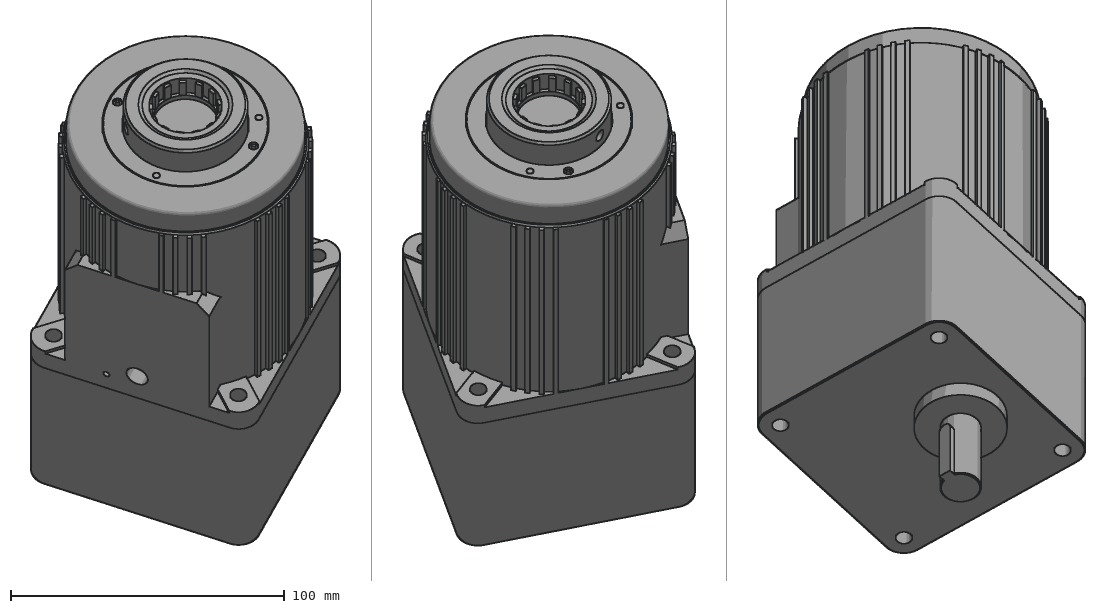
import cadquery as cq
import math

side = 90.0
corner_radius = 8.0
bolt_hole_diameter = 6.0
bolt_spacing = 73.5

boss_bottom_z = 31.2
gearhead_bottom_z = 37.3
gearhead_top_z = 102.2
flange_top_z = 110.3
body_top_z = 197.5
cap_top_z = 207.0
hub_top_z = 218.0

gearhead_chamfer = 0.5
shaft_offset_y = 18.0
shaft_diameter = 15.0
shaft_chamfer = 0.5
boss_diameter = 34.0
key_width = 5.0
key_length = 25.3
key_protrusion = 2.0

pad_width = 12.0
pad_height = 1.3
body_diameter = side
body_chamfer = 0.7
first_rib_angle = 12.0
rib_pitch = 6.5
ribs_per_group = 4
rib_width = 1.7
rib_tip_radius = 46.5
rib_root_depth = 2.2
cap_diameter = 87.5
cap_fillet = 2.0

box_width = 57.3
box_top_z = 165.5
box_depth = 17.5
box_chamfer = 5.0
box_root_fillet = 0.7
cable_hole_diameter = 8.5
cable_hole_z = 114.2
cable_hole_depth = 11.0
screw_hole_diameter = 2.5
screw_hole_x = -12.2
screw_hole_z = 109.9
screw_hole_depth = 6.5

gap = 0.5
pocket_diameter = 61.0
ring_thickness = 3.3
ring_bottom_z = cap_top_z - ring_thickness
ring_hole_diameter = 2.6
ring_hole_depth = 0.2
ring_hole_circle_radius = 27.0
ring_hole_angles = [30, 150, 270]
dowel_hole_angles = [0, 180]
dowel_hole_diameter = 3.5
dowel_hole_depth = 1.0
dowel_pilot_diameter = 1.7

hub_diameter = 45.5
hub_chamfer = 0.9
bore_mouth_diameter = 34.5
bore_seat_diameter = 31.6
bore_seat_depth = 0.7
spline_root_diameter = 26.5
spline_tip_diameter = 24.0
spline_teeth = 13
spline_tooth_width = 2.6
spline_tooth_height = 2.2
spline_recess = 1.7
spline_groove_depth = 8.7
bore_depth = 11.0
set_screw_diameter = 4.5
set_screw_drop = 5.9
set_screw_angle = 220


def cylinder(diameter, bottom_z, top_z, x=0, y=0):
    return cq.Workplane("XY", origin=(x, y, bottom_z)).circle(diameter / 2).extrude(top_z - bottom_z)


def rounded_square(bottom_z, top_z):
    block = cq.Workplane("XY", origin=(0, 0, bottom_z)).rect(side, side).extrude(top_z - bottom_z)
    return block.edges("|Z").fillet(corner_radius)


def bolt_holes(bottom_z, top_z):
    return (
        cq.Workplane("XY", origin=(0, 0, bottom_z))
        .rect(bolt_spacing, bolt_spacing, forConstruction=True)
        .vertices()
        .circle(bolt_hole_diameter / 2)
        .extrude(top_z - bottom_z)
    )


def turned(shape, angle):
    return shape.rotate((0, 0, 0), (0, 0, 1), angle)


def around_axis(radius, angle):
    return radius * math.cos(math.radians(angle)), radius * math.sin(math.radians(angle))


def make_key():
    straight = key_length - key_width / 2
    return (
        cq.Workplane("YZ", origin=(0, shaft_offset_y, 0))
        .moveTo(-key_width / 2, 0)
        .lineTo(-key_width / 2, straight)
        .threePointArc((0, key_length), (key_width / 2, straight))
        .lineTo(key_width / 2, 0)
        .close()
        .extrude(shaft_diameter / 2 + key_protrusion)
    )


def make_gearhead():
    gearhead = rounded_square(gearhead_bottom_z, gearhead_top_z).faces("<Z").chamfer(gearhead_chamfer)
    gearhead = gearhead.cut(bolt_holes(gearhead_bottom_z, gearhead_top_z))
    boss = cylinder(boss_diameter, boss_bottom_z, gearhead_bottom_z, y=shaft_offset_y)
    shaft = cylinder(shaft_diameter, 0, boss_bottom_z, y=shaft_offset_y).faces("<Z").chamfer(shaft_chamfer)
    return gearhead.union(boss).union(shaft).union(make_key())


def make_flange():
    pad_top_z = flange_top_z + pad_height
    flange = rounded_square(gearhead_top_z, flange_top_z)
    outline = rounded_square(flange_top_z, pad_top_z)
    strip = cq.Workplane("XY", origin=(0, 0, flange_top_z)).rect(2 * side, pad_width).extrude(pad_height)
    for angle in (45, 135):
        flange = flange.union(outline.intersect(turned(strip, angle)))
    return flange.cut(bolt_holes(gearhead_top_z, pad_top_z))


def make_ribs():
    root_radius = body_diameter / 2 - rib_root_depth
    rib_height = body_top_z - body_chamfer - flange_top_z
    rib = (
        cq.Workplane("XY", origin=((root_radius + rib_tip_radius) / 2, 0, flange_top_z))
        .rect(rib_tip_radius - root_radius, rib_width)
        .extrude(rib_height)
    )
    ribs = cq.Workplane("XY")
    for axis_angle in (0, 90, 180, 270):
        for index in range(ribs_per_group):
            offset = first_rib_angle + index * rib_pitch
            for angle in (axis_angle - offset, axis_angle + offset):
                ribs = ribs.add(turned(rib, angle))
    envelope = cq.Workplane("XY", origin=(0, 0, flange_top_z)).rect(side, side).extrude(rib_height)
    return ribs.combine().intersect(envelope)


def make_box():
    height = box_top_z - gearhead_top_z
    return (
        cq.Workplane("XZ", origin=(0, -side / 2 + box_depth, gearhead_top_z + height / 2))
        .rect(box_width, height)
        .extrude(box_depth)
        .edges("|Y and >Z")
        .chamfer(box_chamfer)
    )


def make_body_with_box():
    body = cylinder(body_diameter, gearhead_top_z, body_top_z).faces(">Z").edges().chamfer(body_chamfer)
    body = body.union(make_box())
    root_y = -math.sqrt((body_diameter / 2) ** 2 - (box_width / 2) ** 2)
    reach = box_root_fillet
    for x in (-box_width / 2, box_width / 2):
        corner = cq.selectors.BoxSelector(
            (x - reach, root_y - reach, gearhead_top_z),
            (x + reach, root_y + reach, box_top_z),
        )
        body = body.edges("|Z").edges(corner).fillet(box_root_fillet)
    return body


def front_hole(diameter, x, z, depth):
    return cq.Workplane("XZ", origin=(x, -side / 2 + depth, z)).circle(diameter / 2).extrude(depth)


def make_motor():
    cap = cylinder(cap_diameter, body_top_z, cap_top_z).faces(">Z").edges().fillet(cap_fillet)
    motor = make_flange().union(make_body_with_box()).union(make_ribs()).union(cap)
    motor = motor.cut(cylinder(pocket_diameter, ring_bottom_z, cap_top_z))
    motor = motor.cut(front_hole(cable_hole_diameter, 0, cable_hole_z, cable_hole_depth))
    return motor.cut(front_hole(screw_hole_diameter, screw_hole_x, screw_hole_z, screw_hole_depth))


def make_ring():
    ring = cylinder(pocket_diameter - 2 * gap, ring_bottom_z, cap_top_z)
    ring = ring.cut(cylinder(hub_diameter + 2 * gap, ring_bottom_z, cap_top_z))
    for angle in ring_hole_angles:
        x, y = around_axis(ring_hole_circle_radius, angle)
        ring = ring.cut(cylinder(ring_hole_diameter, cap_top_z - ring_hole_depth, cap_top_z, x, y))
    for angle in dowel_hole_angles:
        x, y = around_axis(ring_hole_circle_radius, angle)
        ring = ring.cut(cylinder(dowel_hole_diameter, cap_top_z - dowel_hole_depth, cap_top_z, x, y))
        ring = ring.cut(cylinder(dowel_pilot_diameter, ring_bottom_z, cap_top_z, x, y))
    return ring


def make_spline_bore():
    groove_bottom_z = hub_top_z - spline_groove_depth
    tooth = (
        cq.Workplane("XY", origin=(0, (spline_tip_diameter + spline_tooth_height) / 2, groove_bottom_z))
        .rect(spline_tooth_width, spline_tooth_height)
        .extrude(spline_groove_depth - spline_recess)
    )
    bore = cylinder(spline_root_diameter, groove_bottom_z, hub_top_z)
    for index in range(spline_teeth):
        bore = bore.cut(turned(tooth, index * 360 / spline_teeth))
    return bore.union(cylinder(spline_tip_diameter, hub_top_z - bore_depth, hub_top_z))


def make_bore_mouth():
    return (
        cq.Workplane("XY", origin=(0, 0, hub_top_z))
        .circle(bore_mouth_diameter / 2)
        .workplane(offset=-bore_seat_depth)
        .circle(bore_seat_diameter / 2)
        .loft()
    )


def make_set_screw_hole():
    x, y = around_axis(1, set_screw_angle)
    plane = cq.Plane(origin=(0, 0, hub_top_z - set_screw_drop), xDir=(0, 0, 1), normal=(x, y, 0))
    return cq.Workplane(plane).circle(set_screw_diameter / 2).extrude(hub_diameter)


def make_hub():
    hub = cylinder(hub_diameter, ring_bottom_z, hub_top_z).faces(">Z").edges().chamfer(hub_chamfer)
    return hub.cut(make_bore_mouth()).cut(make_spline_bore()).cut(make_set_screw_hole())


gearhead = make_gearhead()
motor = make_motor()
ring = make_ring()
hub = make_hub()

result = cq.Compound.makeCompound([gearhead.val(), motor.val(), ring.val(), hub.val()])